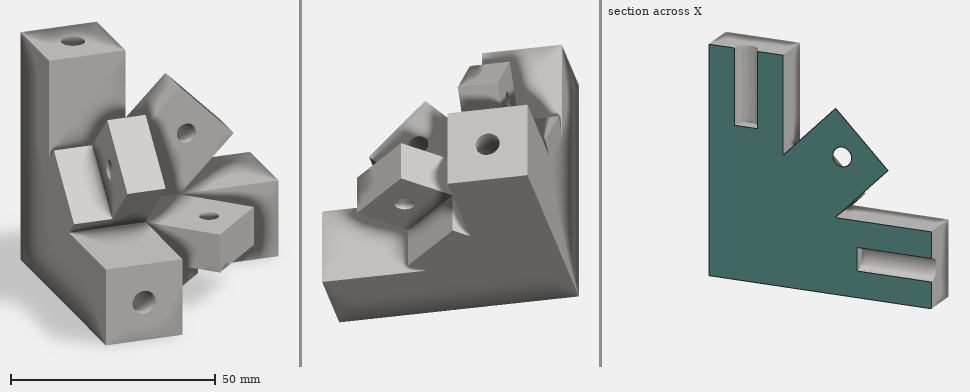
import cadquery as cq

arm_length = 60.0
arm_width = arm_length / 3
brace_length = 1.5 * arm_width
lap_length = brace_length / 2
lap_thickness = arm_width / 2
lap_hole_diameter = 5.0
end_hole_diameter = 6.0
end_hole_depth = arm_width


def make_arm():
    """Square arm along X, starting at the outer corner."""
    return cq.Workplane("XY").box(arm_length, arm_width, arm_width, centered=False)


def make_end_hole():
    """Blind hole, centred in the free end of the X arm."""
    return (
        cq.Workplane("YZ", origin=(arm_length, arm_width / 2, arm_width / 2))
        .circle(end_hole_diameter / 2)
        .extrude(-end_hole_depth)
    )


def make_brace():
    """Half-lapped brace on the XY diagonal, with its inner half the longer."""
    root = -arm_width / 2
    short_length = brace_length - lap_length
    full_bar = cq.Workplane("XY").box(
        brace_length - root, arm_width, arm_width, centered=(False, True, False)
    ).translate((root, 0, 0))
    lap_cut = cq.Workplane("XY").box(
        lap_length, arm_width, lap_thickness, centered=(False, True, False)
    ).translate((short_length, 0, 0))
    lap_hole = (
        cq.Workplane("XY")
        .center(brace_length - lap_length / 2, 0)
        .circle(lap_hole_diameter / 2)
        .extrude(arm_width)
    )
    brace = full_bar.cut(lap_cut).cut(lap_hole)
    return brace.rotate((0, 0, 0), (0, 0, 1), 45).translate((arm_width, arm_width, 0))


def three_ways(shape):
    """Copies of a shape turned about the (1, 1, 1) axis, swapping X, Y and Z."""
    return [shape.rotate((0, 0, 0), (1, 1, 1), angle) for angle in (0, 120, 240)]


result = cq.Workplane("XY").box(arm_width, arm_width, arm_width, centered=False)
for solid in three_ways(make_arm()) + three_ways(make_brace()):
    result = result.union(solid)

for hole in three_ways(make_end_hole()):
    result = result.cut(hole)